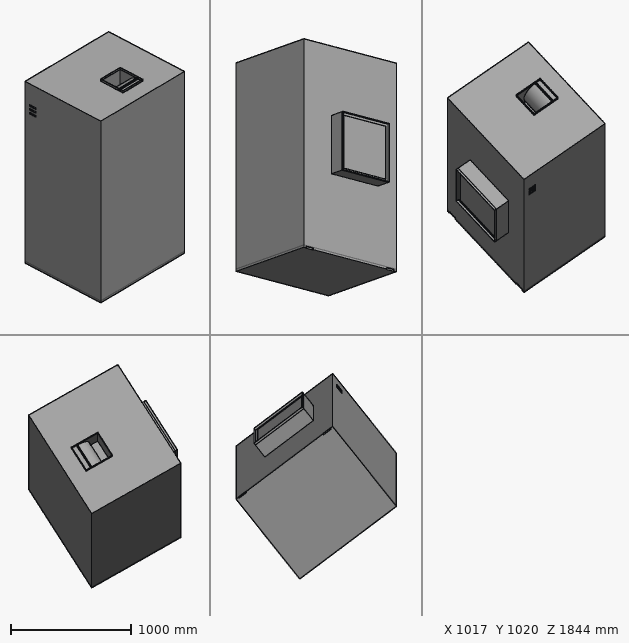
import cadquery as cq
import math

total_height = 1844.0
cabinet_width = 867.0
cabinet_depth = 1018.0
base_height = 20.0

recess_length = 75.0
recess_height = 15.0
recess_depth = 10.0
recess_margin = 28.0

hood_projection = 150.0
hood_size = 510.0
hood_center_y = -50.0
hood_center_z = 960.0
hood_sheet = 2.0
hood_rim = 20.0
pane_size = 463.0
pane_inset = 4.0

collar_length = 258.0
collar_width = 240.0
collar_height = 20.0
collar_sheet = 4.0
collar_min_x = 455.0
collar_center_y = 45.0

duct_depth = 185.0
scroll_start = 83.0
scroll_end = 200.0
scroll_radius = 124.0
bar_width = 11.0
bar_drop = 7.0

slat_count = 3
slat_length = 70.0
slat_height = 15.0
slat_projection = 2.0
slat_pitch = 39.0
slat_margin = 53.0
slat_drop = 208.0

cabinet_top = total_height - collar_height
front_y = -cabinet_depth / 2
back_y = cabinet_depth / 2


def box(x, y, z, length, width, height):
    """Box with its lowest corner at (x, y, z)."""
    return cq.Workplane("XY").box(length, width, height, centered=False).translate((x, y, z))


def make_cabinet():
    base = box(0, front_y, 0, cabinet_width, cabinet_depth, base_height)
    for y in (front_y + recess_margin, back_y - recess_margin - recess_length):
        base = base.cut(box(0, y, 0, recess_depth, recess_length, recess_height))
    body = box(0, front_y, base_height, cabinet_width, cabinet_depth, cabinet_top - base_height)
    return base.union(body, clean=False)


def make_hood():
    def square_block(size, x, length):
        y = hood_center_y - size / 2
        z = hood_center_z - size / 2
        return box(x, y, z, length, size, size)

    rim_x = -hood_projection
    panel_x = rim_x + hood_rim
    rim = square_block(hood_size, rim_x, hood_rim)
    rim = rim.cut(square_block(hood_size - 2 * hood_sheet, rim_x, hood_rim))
    case = square_block(hood_size, panel_x, -panel_x)
    case = case.cut(square_block(pane_size, panel_x, pane_inset))
    return case.union(rim, clean=False)


def add_slats(part):
    for i in range(slat_count):
        z = cabinet_top - slat_drop - slat_height - i * slat_pitch
        slat = box(slat_margin, front_y - slat_projection, z, slat_length, slat_projection, slat_height)
        part = part.union(slat, clean=False)
    return part


def add_outlet(part):
    outer_y = collar_center_y - collar_width / 2
    inner_x = collar_min_x + collar_sheet
    inner_y = outer_y + collar_sheet
    inner_length = collar_length - 2 * collar_sheet
    inner_width = collar_width - 2 * collar_sheet
    lip_x = collar_min_x + scroll_end

    collar = box(collar_min_x, outer_y, cabinet_top, collar_length, collar_width, collar_height)
    collar = collar.cut(box(inner_x, inner_y, cabinet_top, inner_length, inner_width, collar_height))
    part = part.union(collar, clean=False)

    duct_z = cabinet_top - duct_depth
    duct = box(inner_x, inner_y, duct_z, lip_x - inner_x, inner_width, duct_depth)
    part = part.cut(duct, clean=False)

    center_x = collar_min_x + scroll_start + scroll_radius
    center_z = cabinet_top - math.sqrt(scroll_radius**2 - (lip_x - center_x) ** 2)
    scroll_plane = cq.Workplane("XZ", origin=(center_x, inner_y, center_z))
    scroll = scroll_plane.circle(scroll_radius).extrude(-inner_width)
    part = part.union(scroll.intersect(duct), clean=False)

    bar_height = collar_height - bar_drop
    bar = box(lip_x, outer_y, cabinet_top, bar_width, collar_width - collar_sheet, bar_height)
    return part.union(bar, clean=False)


result = make_cabinet().union(make_hood(), clean=False)
result = add_slats(result)
result = add_outlet(result)